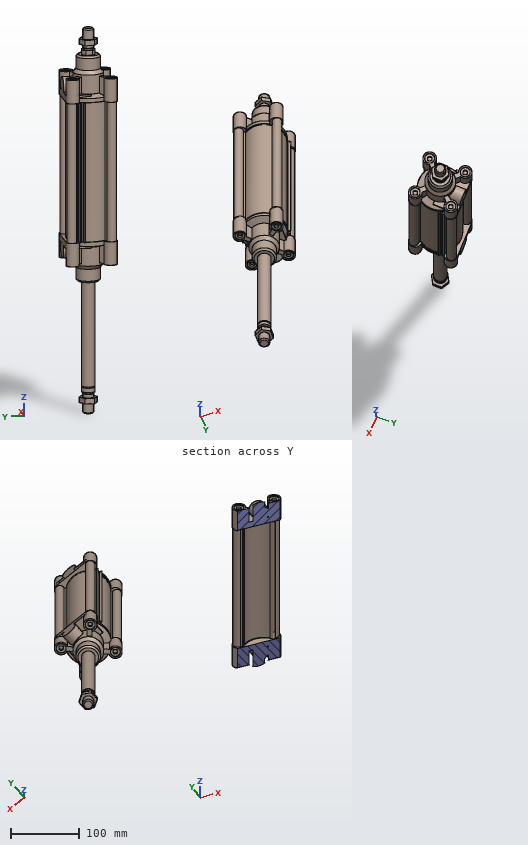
import cadquery as cq
import math

total_length = 579.0
body_width = 76.0

tube_bottom = 264.5
tube_length = 209.5
tube_top = tube_bottom + tube_length
tube_bore = 63.0
tube_diameter = 66.0
rib_diameter = 14.5
rib_offset = 29.5
lip_width = 3.5
outer_lip_center = 11.5
outer_lip_reach = 37.0
inner_lip_center = 18.0
inner_lip_reach = 35.0

column_diameter = 19.5
column_offset = (body_width - column_diameter) / 2
column_height = 35.5
base_diameter = 68.0
base_height = 6.5
slope_top = 10.5
boss_diameter = 45.0
boss_height = 39.0
collar_diameter = 36.0
shoulder_top = 44.5
collar_top = 65.5
collar_chamfer = 3.0
web_width = 7.5
port_diameter = 25.5
port_offset = 4.5
port_height = 18.5
port_face = body_width / 2
counterbore_diameter = 14.5
counterbore_depth = 2.0
screw_hole_diameter = 7.0
screw_hole_depth = 6.0

rod_diameter = 20.0
thread_diameter = 16.0
thread_length = 29.5
relief_diameter = 13.5
relief_length = 3.0
tip_chamfer = 2.0
groove_diameter = 19.5
groove_bottom = 39.5
groove_width = 2.0
flat_spacing = 18.0

nut_width = 24.0
nut_height = 8.0
nut_setback = 16.0


def four_corners(shape):
    """Union of the shape and its three quarter-turn copies about the Z axis."""
    turned = shape
    for angle in (90, 180, 270):
        turned = turned.union(shape.rotate((0, 0, 0), (0, 0, 1), angle))
    return turned


def disc(diameter, bottom, height):
    """Cylinder on the Z axis."""
    return cq.Workplane("XY").workplane(offset=bottom).circle(diameter / 2).extrude(height)


def corner_web(bottom, height, reach):
    """Diagonal wall from the Z axis toward the +X +Y corner, reaching to X = Y = reach."""
    length = math.sqrt(2) * reach
    wall = cq.Workplane("XY").workplane(offset=bottom).center(length / 2, 0).rect(length, web_width)
    return wall.extrude(height).rotate((0, 0, 0), (0, 0, 1), 45)


def cap_core():
    """Turned part of a cap: sloped base, boss, conical shoulder and collar."""
    outline = [
        (0, 0),
        (base_diameter / 2, 0),
        (base_diameter / 2, base_height),
        (boss_diameter / 2, slope_top),
        (boss_diameter / 2, boss_height),
        (collar_diameter / 2, shoulder_top),
        (collar_diameter / 2, collar_top - collar_chamfer),
        (collar_diameter / 2 - collar_chamfer, collar_top),
        (0, collar_top),
    ]
    return cq.Workplane("XZ").polyline(outline).close().revolve(360, (0, 0), (0, 1))


def cap_column():
    """Round corner column with its web to the boss."""
    column = disc(column_diameter, 0, column_height).translate((column_offset, column_offset, 0))
    return column.union(corner_web(0, column_height, column_offset))


def cap_port():
    """Flat side plate and round port boss on the +Y side."""
    plate = cq.Workplane("XY").rect(2 * column_offset, port_face).extrude(slope_top)
    plate = plate.translate((0, port_face / 2, 0))
    boss = cq.Workplane("XZ").center(port_offset, port_height).circle(port_diameter / 2)
    return plate.union(boss.extrude(-port_face))


def column_hole():
    """Counterbored screw hole in the end of a corner column."""
    counterbore = disc(counterbore_diameter, column_height - counterbore_depth, counterbore_depth)
    hole = disc(screw_hole_diameter, column_height - screw_hole_depth, screw_hole_depth)
    return counterbore.union(hole).translate((column_offset, column_offset, 0))


def make_cap():
    cap = cap_core().union(four_corners(cap_column())).union(cap_port())
    cap = cap.cut(four_corners(column_hole()))
    return cap.cut(disc(rod_diameter, 0, collar_top))


def tube_rib():
    """Round rib along a tube corner, with the web that joins it to the tube."""
    rib = disc(rib_diameter, tube_bottom, tube_length).translate((rib_offset, rib_offset, 0))
    return rib.union(corner_web(tube_bottom, tube_length, rib_offset))


def tube_lip(side, center, reach):
    """Pointed lip along the tube on the +X or -X side."""
    outline = [
        (0, center - lip_width / 2),
        (side * tube_diameter / 2, center - lip_width / 2),
        (side * reach, center),
        (side * tube_diameter / 2, center + lip_width / 2),
        (0, center + lip_width / 2),
    ]
    return cq.Workplane("XY").workplane(offset=tube_bottom).polyline(outline).close().extrude(tube_length)


def make_tube():
    tube = disc(tube_diameter, tube_bottom, tube_length).union(four_corners(tube_rib()))
    for side in (-1, 1):
        tube = tube.union(tube_lip(side, outer_lip_center, outer_lip_reach))
        tube = tube.union(tube_lip(side, inner_lip_center, inner_lip_reach))
    return tube.cut(disc(tube_bore, tube_bottom, tube_length))


def make_rod():
    """Rod with threaded tips, thread reliefs, a fine groove and wrench flats at the top."""
    shank_bottom = thread_length + relief_length
    shank_top = total_length - shank_bottom
    rod = disc(thread_diameter, 0, total_length).faces("<Z or >Z").chamfer(tip_chamfer)
    for relief_bottom in (thread_length, shank_top):
        relief = disc(thread_diameter, relief_bottom, relief_length)
        rod = rod.cut(relief.cut(disc(relief_diameter, relief_bottom, relief_length)))
    rod = rod.union(disc(rod_diameter, shank_bottom, shank_top - shank_bottom))
    groove = disc(rod_diameter, groove_bottom, groove_width)
    rod = rod.cut(groove.cut(disc(groove_diameter, groove_bottom, groove_width)))
    flats_bottom = tube_top + collar_top
    flats = disc(rod_diameter, flats_bottom, shank_top - flats_bottom)
    keep = cq.Workplane("XY").box(flat_spacing, body_width, 4 * total_length)
    return rod.cut(flats.cut(keep))


def make_nut(bottom):
    """Hexagon nut with two corners on the Y axis."""
    corner_diameter = nut_width / math.cos(math.radians(30))
    nut = cq.Workplane("XY").workplane(offset=bottom).polygon(6, corner_diameter).extrude(nut_height)
    return nut.rotate((0, 0, 0), (0, 0, 1), 90).cut(disc(thread_diameter, bottom, nut_height))


top_cap = make_cap().translate((0, 0, tube_top))
bottom_cap = make_cap().mirror("XY").translate((0, 0, tube_bottom))
tube = make_tube()
rod = make_rod()
nuts = [make_nut(z) for z in (nut_setback, total_length - nut_setback - nut_height)]

result = cq.Compound.makeCompound(
    [top_cap.val(), bottom_cap.val(), tube.val(), rod.val(), *[nut.val() for nut in nuts]]
)